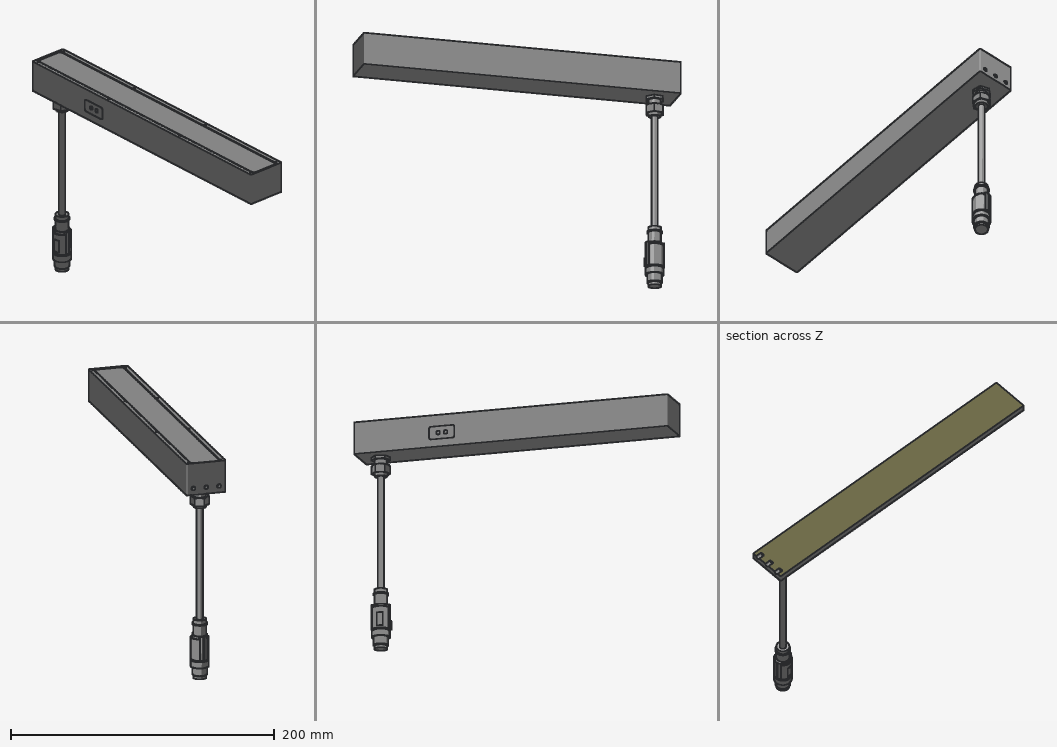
import cadquery as cq


BAR_LENGTH = 250.0
BAR_WIDTH = 31.0
BAR_HEIGHT = 25.0
OVERALL_HEIGHT = 176.0
BAR_EDGE_RADIUS = 0.8

WINDOW_END_MARGIN = 1.2
WINDOW_SIDE_MARGIN = 3.8
WINDOW_CORNER_RADIUS = 3.0
WINDOW_DEPTH = 0.8

COVER_SCREW_COLUMNS = 4
COVER_SCREW_ROWS = 2
COVER_SCREW_DIAMETER = 1.5
COVER_SCREW_DEPTH = 2.5
COVER_SCREW_END_OFFSET = 3.5
COVER_SCREW_SIDE_OFFSET = 2.8

END_HOLE_COUNT = 3
END_HOLE_DIAMETER = 3.0
END_HOLE_DEPTH = 5.0
END_HOLE_SPACING = 10.2
END_HOLE_Z = 5.2

LABEL_LENGTH = 20.2
LABEL_HEIGHT = 10.0
LABEL_CENTRE_X = 70.0
LABEL_CENTRE_Z = 11.0
LABEL_CORNER_RADIUS = 1.8
LABEL_DEPTH = 0.2
LAMP_COUNT = 2
LAMP_DIAMETER = 3.0
LAMP_SPACING = 6.0
LAMP_DEPTH = 0.5

CABLE_X = 16.5
CABLE_RADIUS = 2.5

GLAND_HEX_RADIUS = 7.2
GLAND_HEX_ANGLE = 11.5
GLAND_FLANGE_BOTTOM = -2.2
GLAND_NECK_RADIUS = 4.8
NUT_TOP = -6.5
NUT_BOTTOM = -13.0
NUT_CHAMFER = 0.8
GLAND_CAP_TOP_RADIUS = 5.8
GLAND_CAP_END_RADIUS = 4.5
GLAND_BOTTOM = -15.2

PLUG_ANGLE = 10.0
PLUG_TOP = -104.2
SLEEVE_RADIUS = 5.0
BEAD_TOP = -107.5
BEAD_BOTTOM = -108.2
COLLAR_RADIUS = 5.8
COLLAR_TOP = -116.8
GRIP_TOP = -118.8
GRIP_RADIUS = 7.0
GRIP_BOTTOM = -135.8
GROOVE_BOTTOM = -136.8
GROOVE_RADIUS = 6.5
RING_RADIUS = 7.0
RING_BOTTOM = -141.8
SPIGOT_RADIUS = 5.8
SPIGOT_BOTTOM = -148.0
SPIGOT_CHAMFER = 0.8
PLUG_BOTTOM = BAR_HEIGHT - OVERALL_HEIGHT

RIB_RADIUS = 7.2
RIB_WIDTH = 6.2
RIB_SLOT_WIDTH = 0.8
RIB_SLOT_DEPTH = 0.5

KEY_REACH = 8.0
KEY_WIDTH = 2.2
KEY_TOP = -129.5

MARKER_WIDTH = 4.5
MARKER_TOP = -123.8
MARKER_BOTTOM = -134.0
MARKER_DEPTH = 0.5


def turned(profile):
    """Solid of revolution about Z from (radius, z) points, closed along the axis."""
    top = profile[0][1]
    bottom = profile[-1][1]
    outline = [(0, top), *profile, (0, bottom)]
    return cq.Workplane("XZ").polyline(outline).close().revolve(360, (0, 0), (0, 1))


def block(x_range, y_range, z_range):
    """Axis-aligned box between the given pairs of limits."""
    corner = (x_range[0], y_range[0], z_range[0])
    size = [high - low for low, high in (x_range, y_range, z_range)]
    return cq.Workplane("XY").box(*size, centered=False).translate(corner)


def window_recess():
    length = BAR_LENGTH - 2 * WINDOW_END_MARGIN
    width = BAR_WIDTH - 2 * WINDOW_SIDE_MARGIN
    recess = cq.Workplane("XY").box(length, width, WINDOW_DEPTH, centered=(True, True, False))
    recess = recess.edges("|Z").fillet(WINDOW_CORNER_RADIUS)
    return recess.translate((BAR_LENGTH / 2, 0, BAR_HEIGHT - WINDOW_DEPTH))


def cover_screw_holes():
    column_spacing = (BAR_LENGTH - 2 * COVER_SCREW_END_OFFSET) / (COVER_SCREW_COLUMNS - 1)
    row_spacing = BAR_WIDTH - 2 * COVER_SCREW_SIDE_OFFSET
    return (
        cq.Workplane("XY", origin=(BAR_LENGTH / 2, 0, BAR_HEIGHT))
        .rarray(column_spacing, row_spacing, COVER_SCREW_COLUMNS, COVER_SCREW_ROWS)
        .circle(COVER_SCREW_DIAMETER / 2)
        .extrude(-COVER_SCREW_DEPTH)
    )


def end_holes():
    return (
        cq.Workplane("YZ", origin=(0, 0, END_HOLE_Z))
        .rarray(END_HOLE_SPACING, 2.5, END_HOLE_COUNT, 1)
        .circle(END_HOLE_DIAMETER / 2)
        .extrude(END_HOLE_DEPTH)
    )


def label_recess():
    face = cq.Workplane("XZ", origin=(LABEL_CENTRE_X, -BAR_WIDTH / 2, LABEL_CENTRE_Z))
    plate = face.rect(LABEL_LENGTH, LABEL_HEIGHT).extrude(-LABEL_DEPTH)
    plate = plate.edges("|Y").fillet(LABEL_CORNER_RADIUS)
    lamps = face.rarray(LAMP_SPACING, 2.5, LAMP_COUNT, 1).circle(LAMP_DIAMETER / 2).extrude(-LAMP_DEPTH)
    return plate.union(lamps)


def make_housing():
    bar = cq.Workplane("XY").box(BAR_LENGTH, BAR_WIDTH, BAR_HEIGHT, centered=(False, True, False))
    bar = bar.edges("|Z").fillet(BAR_EDGE_RADIUS)
    return bar.cut(window_recess()).cut(cover_screw_holes()).cut(end_holes()).cut(label_recess())


def hexagon(top, bottom):
    prism = cq.Workplane("XY", origin=(0, 0, bottom)).polygon(6, 2 * GLAND_HEX_RADIUS).extrude(top - bottom)
    return prism.rotate((0, 0, 0), (0, 0, 1), GLAND_HEX_ANGLE)


def make_gland():
    flange = hexagon(0, GLAND_FLANGE_BOTTOM)
    neck = turned([(GLAND_NECK_RADIUS, 0), (GLAND_NECK_RADIUS, NUT_BOTTOM)])
    nut_envelope = turned([
        (GLAND_HEX_RADIUS - NUT_CHAMFER, NUT_TOP),
        (GLAND_HEX_RADIUS, NUT_TOP - NUT_CHAMFER),
        (GLAND_HEX_RADIUS, NUT_BOTTOM),
    ])
    nut = hexagon(NUT_TOP, NUT_BOTTOM).intersect(nut_envelope)
    cap = turned([(GLAND_CAP_TOP_RADIUS, NUT_BOTTOM), (GLAND_CAP_END_RADIUS, GLAND_BOTTOM)])
    return flange.union(neck).union(nut).union(cap).translate((CABLE_X, 0, 0))


def turned_plug():
    return turned([
        (CABLE_RADIUS, GLAND_BOTTOM),
        (CABLE_RADIUS, PLUG_TOP),
        (SLEEVE_RADIUS, PLUG_TOP),
        (SLEEVE_RADIUS, BEAD_TOP),
        (COLLAR_RADIUS, BEAD_TOP),
        (COLLAR_RADIUS, BEAD_BOTTOM),
        (SLEEVE_RADIUS, BEAD_BOTTOM),
        (SLEEVE_RADIUS, COLLAR_TOP),
        (COLLAR_RADIUS, COLLAR_TOP),
        (COLLAR_RADIUS, GRIP_TOP),
        (GRIP_RADIUS, GRIP_TOP),
        (GRIP_RADIUS, GRIP_BOTTOM),
        (GROOVE_RADIUS, GRIP_BOTTOM),
        (GROOVE_RADIUS, GROOVE_BOTTOM),
        (RING_RADIUS, GROOVE_BOTTOM),
        (RING_RADIUS, RING_BOTTOM),
        (SPIGOT_RADIUS, RING_BOTTOM),
        (SPIGOT_RADIUS, SPIGOT_BOTTOM),
        (SPIGOT_RADIUS - SPIGOT_CHAMFER, SPIGOT_BOTTOM - SPIGOT_CHAMFER),
        (SPIGOT_RADIUS - SPIGOT_CHAMFER, PLUG_BOTTOM),
    ])


def grip_ribs():
    """Two opposite ribs that stand out of the grip and run up to the collar's top."""
    half = RIB_WIDTH / 2
    band = block((-RIB_RADIUS, RIB_RADIUS), (-half, half), (GRIP_BOTTOM, COLLAR_TOP))
    return band.intersect(turned([(RIB_RADIUS, COLLAR_TOP), (RIB_RADIUS, GRIP_BOTTOM)]))


def rib_slots():
    """One slot down the middle of each rib."""
    half = RIB_SLOT_WIDTH / 2
    floor = RIB_RADIUS - RIB_SLOT_DEPTH
    slots = cq.Workplane("XY")
    for x_range in ((-RIB_RADIUS, -floor), (floor, RIB_RADIUS)):
        slots = slots.add(block(x_range, (-half, half), (GRIP_BOTTOM, COLLAR_TOP)))
    return slots.combine()


def key():
    """Coding key that stands out from one rib at the lower end of the grip."""
    return block((GROOVE_RADIUS, KEY_REACH), (-KEY_WIDTH / 2, KEY_WIDTH / 2), (GRIP_BOTTOM, KEY_TOP))


def marker_recess():
    """Flat rectangular recess in the grip, a quarter turn from the ribs."""
    half = MARKER_WIDTH / 2
    return block((-half, half), (-GRIP_RADIUS, MARKER_DEPTH - GRIP_RADIUS), (MARKER_BOTTOM, MARKER_TOP))


def make_cordset():
    cordset = turned_plug().union(grip_ribs()).cut(rib_slots()).union(key()).cut(marker_recess())
    return cordset.rotate((0, 0, 0), (0, 0, 1), PLUG_ANGLE).translate((CABLE_X, 0, 0))


housing = make_housing()
gland = make_gland()
cordset = make_cordset()

result = cq.Compound.makeCompound([housing.val(), gland.val(), cordset.val()])